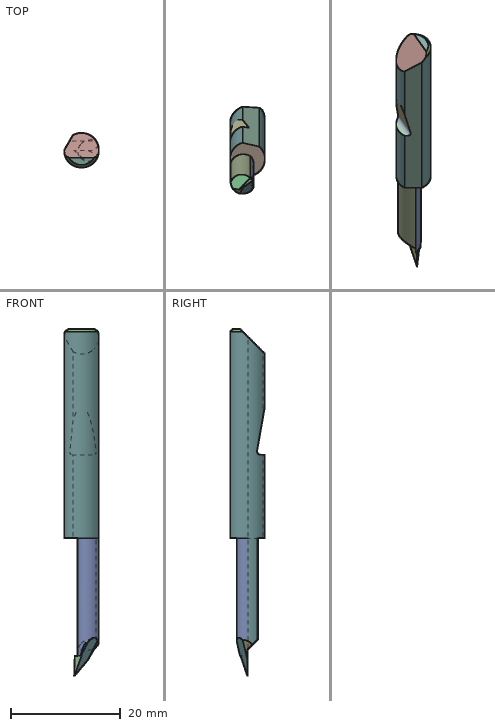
import cadquery as cq
import math


TOTAL_LENGTH = 63.15
SHANK_LENGTH = 38.1
SHANK_TOP = SHANK_LENGTH
TIP_Z = SHANK_LENGTH - TOTAL_LENGTH

SHANK_DIAMETER = 6.35
SHANK_RADIUS = SHANK_DIAMETER / 2
SHANK_CHAMFER = 0.5
BEVEL_LENGTH = 4.55
FLAT_DIRECTION = 150
FLAT_HALF_ARC = 30
FLAT_DISTANCE = SHANK_RADIUS * math.cos(math.radians(FLAT_HALF_ARC))

NOTCH_BOTTOM = SHANK_TOP - 22.9
NOTCH_TOP = SHANK_TOP - 14.2
NOTCH_ANGLE = 10
NOTCH_CORNER_RADIUS = 0.6

FRONT_RADIUS = 1.965
FRONT_CENTER_X = SHANK_RADIUS - FRONT_RADIUS
NECK_LEFT_X = FRONT_CENTER_X - FRONT_RADIUS
BACK_RADIUS = 2.5
BACK_CENTER_Y = FRONT_RADIUS - BACK_RADIUS
BACK_CENTER_X = NECK_LEFT_X + math.sqrt(BACK_RADIUS**2 - BACK_CENTER_Y**2)

RAKE_TOP_Z = -20.35
TOOTH_TOP_Z = -21.45
TIP_X = -1.22
NOSE_X = -1.36
NOSE_Z = TIP_Z + 0.25
TOOTH_EDGE_TAPER = 1.8
TOOTH_RELIEF = 45
END_EDGE_ANGLE = 50
END_RELIEF = 47
HEEL_X = 1.15
HEEL_Z = TIP_Z + (HEEL_X - TIP_X) * math.tan(math.radians(END_EDGE_ANGLE))
HEEL_EDGE_ANGLE = 60
HEEL_RELIEF = 15
BELLY_TOP_Z = -18.85
BELLY_TAPER = 12.5

BLOCK = 3 * TOTAL_LENGTH


def half_space(point, normal):
    """Large block that starts at the plane through point and extends along normal."""
    return cq.Workplane(cq.Plane(origin=point, normal=normal)).rect(BLOCK, BLOCK).extrude(BLOCK)


def flank_half_space(point, edge_normal_angle, relief):
    """Material outside a flank through a point of the rake face.

    The edge normal lies in the XZ plane at edge_normal_angle from +X toward +Z;
    relief tilts the flank back under the cutting edge toward -Y.
    """
    angle = math.radians(edge_normal_angle)
    tilt = math.radians(relief)
    normal = (
        math.cos(tilt) * math.cos(angle),
        -math.sin(tilt),
        math.cos(tilt) * math.sin(angle),
    )
    return half_space(point, normal)


def whistle_notch():
    """Wedge with a square lower step and a gently sloping floor, cut through along X."""
    floor_y = SHANK_RADIUS - (NOTCH_TOP - NOTCH_BOTTOM) * math.tan(math.radians(NOTCH_ANGLE))
    return (
        cq.Workplane("YZ")
        .moveTo(SHANK_RADIUS, NOTCH_TOP)
        .lineTo(floor_y, NOTCH_BOTTOM)
        .lineTo(SHANK_RADIUS, NOTCH_BOTTOM)
        .close()
        .extrude(SHANK_RADIUS, both=True)
        .edges(cq.selectors.NearestToPointSelector((0, floor_y, NOTCH_BOTTOM)))
        .fillet(NOTCH_CORNER_RADIUS)
    )


def shank():
    body = cq.Workplane("XY").circle(SHANK_RADIUS).extrude(SHANK_LENGTH)
    body = body.faces(">Z").chamfer(SHANK_CHAMFER)
    body = body.cut(half_space((0, SHANK_RADIUS, SHANK_TOP - BEVEL_LENGTH), (0, 1, 1)))
    flat_angle = math.radians(FLAT_DIRECTION)
    flat_normal = (math.cos(flat_angle), math.sin(flat_angle), 0)
    flat_point = (FLAT_DISTANCE * flat_normal[0], FLAT_DISTANCE * flat_normal[1], 0)
    body = body.cut(half_space(flat_point, flat_normal))
    return body.cut(whistle_notch())


def neck():
    """Bar of the two half sections inside the shank diameter, with the run-out to the rake face."""
    depth = abs(TIP_Z)
    axis_point = (0, 0, 0)
    front = cq.Workplane("XY").center(FRONT_CENTER_X, 0).circle(FRONT_RADIUS).extrude(-depth)
    front = front.cut(half_space(axis_point, (0, 1, 0)))
    back = cq.Workplane("XY").center(BACK_CENTER_X, BACK_CENTER_Y).circle(BACK_RADIUS).extrude(-depth)
    back = back.cut(half_space(axis_point, (0, -1, 0)))
    back = back.cut(half_space((0, 0, RAKE_TOP_Z), (0, 1, -1)))
    envelope = cq.Workplane("XY").circle(SHANK_RADIUS).extrude(-depth)
    return front.union(back).intersect(envelope)


def add_tooth(bar):
    """Widen the bar toward -X below the tooth top, then grind the flanks that form the point."""
    tooth_height = TOOTH_TOP_Z - TIP_Z
    blank = (
        cq.Workplane("XY", origin=(0, 0, TIP_Z))
        .moveTo(-SHANK_RADIUS, 0)
        .lineTo(FRONT_CENTER_X, 0)
        .lineTo(FRONT_CENTER_X, -FRONT_RADIUS)
        .lineTo(-SHANK_RADIUS, -FRONT_RADIUS)
        .close()
        .extrude(tooth_height)
    )
    outer_flank = flank_half_space((NOSE_X, 0, NOSE_Z), 180 - TOOTH_EDGE_TAPER, TOOTH_RELIEF)
    below_top = half_space((0, 0, TOOTH_TOP_Z), (0, 0, -1))
    bar = bar.union(blank).cut(outer_flank.intersect(below_top))
    belly_normal = (0, -1, -math.tan(math.radians(BELLY_TAPER)))
    bar = bar.cut(half_space((0, -FRONT_RADIUS, BELLY_TOP_Z), belly_normal))
    bar = bar.cut(flank_half_space((TIP_X, 0, TIP_Z), END_EDGE_ANGLE - 90, END_RELIEF))
    return bar.cut(flank_half_space((HEEL_X, 0, HEEL_Z), HEEL_EDGE_ANGLE - 90, HEEL_RELIEF))


result = shank().union(add_tooth(neck()))